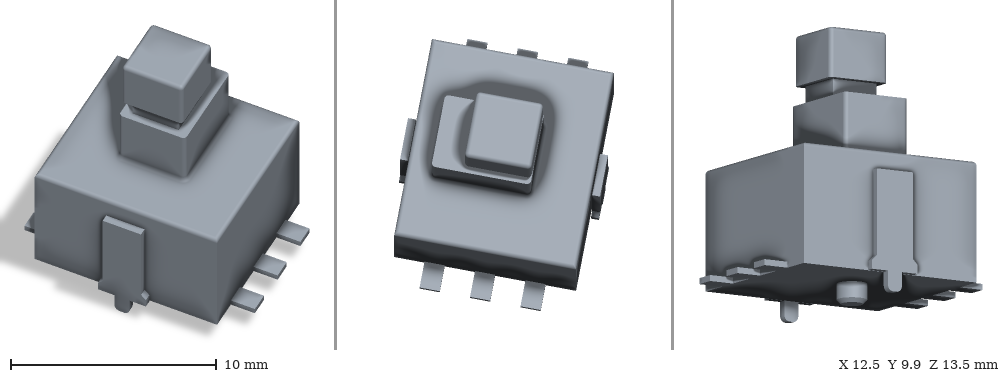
import cadquery as cq

TOTAL_HEIGHT = 13.5
TERMINAL_SPAN = 12.5
CLIP_SPAN = 9.9

HOUSING_WIDTH = 9.9
HOUSING_DEPTH = 9.0
HOUSING_HEIGHT = 6.0
EDGE_RADIUS = 0.2

STEM_WIDTH = 3.6
STEM_DEPTH = 4.9
STEM_HEIGHT = 3.0
NECK_SIDE = 2.5
NECK_HEIGHT = 1.0
CAP_SIDE = 3.3

TERMINAL_COUNT = 3
TERMINAL_PITCH = 2.5
TERMINAL_WIDTH = 1.0
TERMINAL_THICKNESS = 0.3

PEG_LENGTH = 1.0
POST_DIAMETER = 1.5
POST_Y = 1.0
POST_CHAMFER = 0.2

CLIP_GAP = 0.05
CLIP_HEIGHT = 5.0
CLIP_WIDTH = 2.08
CLIP_FOOT_WIDTH = 2.6
CLIP_FOOT_HEIGHT = 0.45
CLIP_TAPER_HEIGHT = 0.25
CLIP_TIP_WIDTH = 0.8
CLIP_TIP_RADIUS = 0.3

STEM_TOP = HOUSING_HEIGHT + STEM_HEIGHT
NECK_TOP = STEM_TOP + NECK_HEIGHT
CAP_HEIGHT = TOTAL_HEIGHT - PEG_LENGTH - NECK_TOP
STEM_Y = (STEM_DEPTH - CAP_SIDE) / 2
CLIP_THICKNESS = (CLIP_SPAN - HOUSING_DEPTH) / 2 - CLIP_GAP


def block(width, depth, height, bottom, y=0):
    """Box centred on X = 0 and on the given Y, standing at the given height."""
    return cq.Workplane("XY", origin=(0, y, bottom)).box(
        width, depth, height, centered=(True, True, False)
    )


def make_case():
    """Block with rounded top edges."""
    case = block(HOUSING_WIDTH, HOUSING_DEPTH, HOUSING_HEIGHT, 0)
    return case.faces(">Z").edges().fillet(EDGE_RADIUS)


def add_stem(case):
    """Stem with rounded upright edges, blended into the top of the case."""
    stem = block(STEM_WIDTH, STEM_DEPTH, STEM_HEIGHT, HOUSING_HEIGHT, STEM_Y)
    stem = stem.edges("|Z").fillet(EDGE_RADIUS)
    half_width = STEM_WIDTH / 2
    half_depth = STEM_DEPTH / 2
    foot_outline = cq.selectors.BoxSelector(
        (-half_width - EDGE_RADIUS, STEM_Y - half_depth - EDGE_RADIUS, HOUSING_HEIGHT - EDGE_RADIUS),
        (half_width + EDGE_RADIUS, STEM_Y + half_depth + EDGE_RADIUS, HOUSING_HEIGHT + EDGE_RADIUS),
        boundingbox=True,
    )
    return case.union(stem).edges(foot_outline).fillet(EDGE_RADIUS)


def make_neck():
    """Narrow square neck between the stem and the cap."""
    return block(NECK_SIDE, NECK_SIDE, NECK_HEIGHT, STEM_TOP)


def make_cap():
    """Square cap, rounded everywhere except around its underside."""
    cap = block(CAP_SIDE, CAP_SIDE, CAP_HEIGHT, NECK_TOP)
    return cap.edges("|Z or >Z").fillet(EDGE_RADIUS)


def make_terminal(index):
    """Flat strip that passes through the case and sticks out on both sides."""
    y = (index - (TERMINAL_COUNT - 1) / 2) * TERMINAL_PITCH
    return block(TERMINAL_SPAN, TERMINAL_WIDTH, TERMINAL_THICKNESS, 0, y)


def make_post():
    """Round locating post with a chamfered lower end."""
    post = cq.Workplane("XY", origin=(0, POST_Y, 0)).circle(POST_DIAMETER / 2).extrude(-PEG_LENGTH)
    return post.faces("<Z").chamfer(POST_CHAMFER)


def make_housing():
    """Case, plunger, terminals and locating post as one solid."""
    housing = add_stem(make_case())
    housing = housing.union(make_neck()).union(make_cap()).union(make_post())
    for index in range(TERMINAL_COUNT):
        housing = housing.union(make_terminal(index))
    return housing


def make_clip(side):
    """Flat clip beside the case; side is -1 for the -Y face and +1 for the +Y face."""
    half_tip = CLIP_TIP_WIDTH / 2
    half_foot = CLIP_FOOT_WIDTH / 2
    half_top = CLIP_WIDTH / 2
    taper_top = CLIP_FOOT_HEIGHT + CLIP_TAPER_HEIGHT
    right_half = [
        (half_tip, -PEG_LENGTH),
        (half_tip, 0),
        (half_foot, 0),
        (half_foot, CLIP_FOOT_HEIGHT),
        (half_top, taper_top),
        (half_top, CLIP_HEIGHT),
    ]
    left_half = [(-x, z) for x, z in reversed(right_half)]
    middle_y = side * (CLIP_SPAN - CLIP_THICKNESS) / 2
    clip = (
        cq.Workplane("XZ", origin=(0, middle_y, 0))
        .polyline(right_half + left_half)
        .close()
        .extrude(CLIP_THICKNESS / 2, both=True)
    )
    return clip.faces("<Z").edges("|Y").fillet(CLIP_TIP_RADIUS)


housing = make_housing()
clips = [make_clip(side) for side in (-1, 1)]

result = cq.Compound.makeCompound([housing.val(), *[clip.val() for clip in clips]])